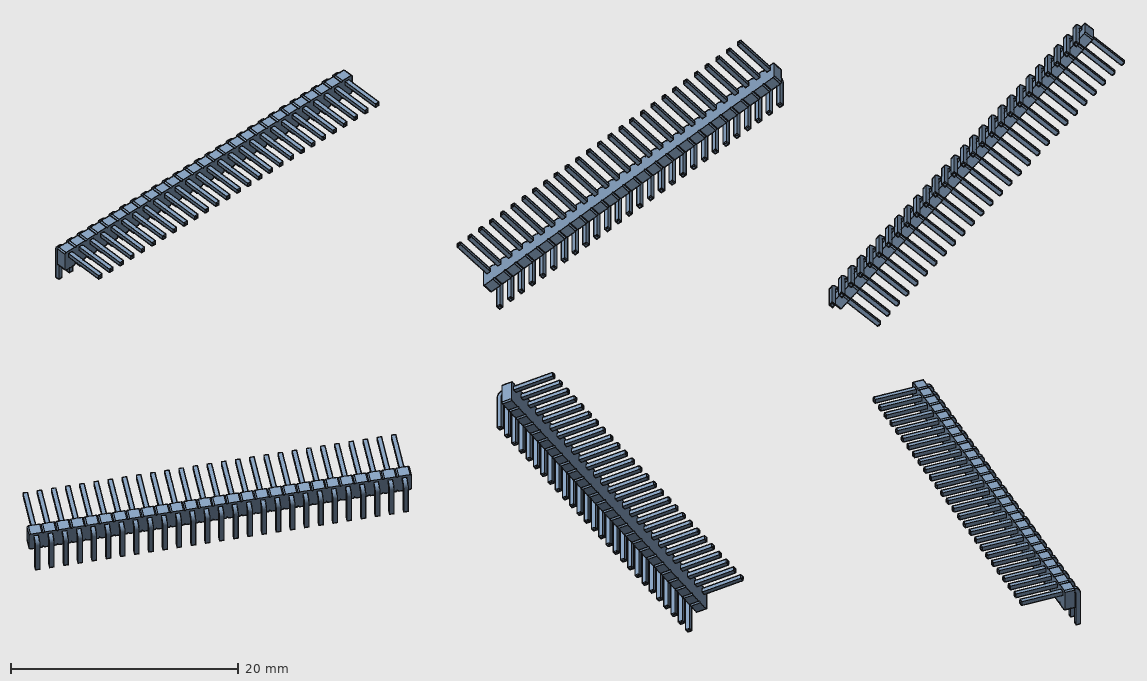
import cadquery as cq

row_length = 34.3
pin_count = 27
pitch = row_length / pin_count

total_depth = 5.7
total_height = 4.35

body_back = 0.72
body_depth = 0.95
body_height = 2.13
body_chamfer = 0.13

pin_width = 0.4
pin_top_drop = 0.3
bend_outer_radius = 0.62
bend_inner_radius = bend_outer_radius - pin_width
tip_chamfer = 0.085

pin_top = total_height - pin_top_drop


def make_body_cell():
    """One pitch of the bar, with its four edges along X chamfered."""
    return (
        cq.Workplane("XY")
        .box(body_depth, pitch, body_height, centered=(False, True, False))
        .edges("|X")
        .chamfer(body_chamfer)
        .translate((body_back, 0, total_height - body_height))
    )


def make_pin():
    """One L-shaped pin centred on Y = 0, with tapered ends."""
    pin = (
        cq.Workplane("XZ")
        .rect(total_depth, pin_top, centered=False)
        .extrude(pin_width / 2, both=True)
        .edges("|Y and <X and >Z")
        .fillet(bend_outer_radius)
    )
    inner_corner = (
        cq.Workplane("XZ")
        .move(pin_width, 0)
        .rect(total_depth, pin_top - pin_width, centered=False)
        .extrude(pin_width / 2, both=True)
        .edges("|Y and <X and >Z")
        .fillet(bend_inner_radius)
    )
    pin = pin.cut(inner_corner)
    return pin.faces(">X").chamfer(tip_chamfer).faces("<Z").chamfer(tip_chamfer)


pin_positions = [(i - (pin_count - 1) / 2) * pitch for i in range(pin_count)]
cell = make_body_cell().union(make_pin())

result = cell.translate((0, pin_positions[0], 0))
for y in pin_positions[1:]:
    result = result.union(cell.translate((0, y, 0)))